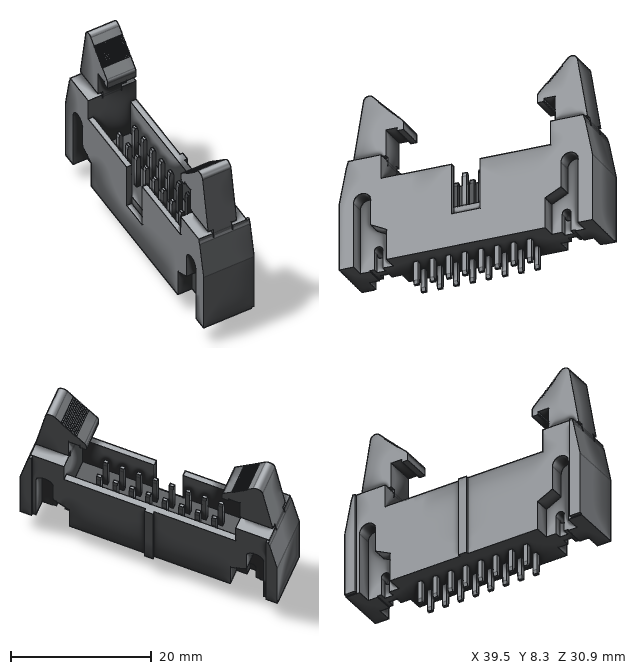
import cadquery as cq

length = 39.52
half_length = length / 2
depth = 7.85
half_depth = depth / 2
wall_top = 13.05
tower_top = 16.75
tower_inner = 13.2
overlap = 0.2

taper_start = 10.2
bevel_start = (18.6, 15.9)
bevel_end_z = 16.35

foot_inner = 15.95
foot_drop = 0.2

front_wall = 0.83
rear_wall = 0.95
cavity_floor = 6.6

slot_width = 4.43
slot_bottom = 5.18
key_width = 1.35

flange_inner = 18.02
flange_top = 16.65
rear_projection = 0.45

recess_outer = 17.5
recess_inner = 14.85
recess_radius = (recess_outer - recess_inner) / 2
recess_arch_z = 9.88
recess_foot_inner = 12.35
recess_ramp_top = 6.0
recess_ramp_bottom = 4.75
web_thickness = 3.15

pivot_x = 14.65
pivot_z = 2.85
pivot_diameter = 1.35
groove_depth = 1.03

latch_bottom = 17.35
latch_width = 4.65
neck_width = 3.0
neck_gap = 0.1
neck_gap_bottom = 16.1
latch_outer_x = 18.25
latch_lean = 0.169
tip_radius = 0.85
nose_x = 10.45
nose_top = 22.3
nose_bottom = 20.95
nose_radius = 0.8
lip_inner = 11.45
lip_chamfer = 0.1
hook_underside = 21.42
tooth_count = 12
tooth_size = 0.2
tooth_start_x = 11.95

pin_columns = 8
pin_rows = 2
pin_pitch = 2.53
pin_size = 0.67
pin_bottom = -3.55
pin_top = 12.6
pin_tip_length = 0.6
pin_tip_depth = 0.4


def box(x_range, y_range, z_range):
    """Axis-aligned box between the given pairs of coordinates."""
    size = [high - low for low, high in (x_range, y_range, z_range)]
    corner = (x_range[0], y_range[0], z_range[0])
    return cq.Workplane("XY").box(*size, centered=False).translate(corner)


def slab(outline, y_low, y_high):
    """Closed XZ outline extruded from y_low to y_high."""
    return outline.close().extrude(y_low - y_high).translate((0, y_low, 0))


def both_ends(body):
    """The body together with its mirror image at the other end."""
    return body.union(body.mirror("YZ"))


def latch_outer(z):
    """X of the leaning outer side of the latch at height z."""
    return latch_outer_x - latch_lean * (z - latch_bottom)


def end_outline():
    """Outline of one half of the housing, up to the tower top."""
    return cq.Workplane("XZ").polyline([
        (0, 0),
        (foot_inner, 0),
        (foot_inner, -foot_drop),
        (half_length, -foot_drop),
        (half_length, taper_start),
        bevel_start,
        (latch_outer(bevel_end_z), bevel_end_z),
        (latch_outer(tower_top), tower_top),
        (tower_inner, tower_top),
        (tower_inner, wall_top),
        (0, wall_top),
    ])


def housing():
    body = both_ends(slab(end_outline(), -half_depth, half_depth))
    flange_y = (half_depth - overlap, half_depth + rear_projection)
    flange = slab(end_outline(), *flange_y).intersect(
        box((flange_inner, half_length), flange_y, (0, flange_top))
    )
    key = box((-key_width / 2, key_width / 2), flange_y, (0, wall_top))
    cavity = box(
        (-tower_inner, tower_inner),
        (front_wall - half_depth, half_depth - rear_wall),
        (cavity_floor, tower_top + overlap),
    )
    polarising_slot = box(
        (-slot_width / 2, slot_width / 2),
        (-half_depth - overlap, front_wall - half_depth),
        (slot_bottom, wall_top + overlap),
    )
    return body.union(both_ends(flange)).union(key).cut(cavity).cut(polarising_slot)


def side_recess():
    """Recess in the front face, with the pivot groove in its floor."""
    floor_y = -web_thickness / 2
    below = -foot_drop - overlap
    outline = (
        cq.Workplane("XZ")
        .moveTo(recess_outer, below)
        .lineTo(recess_outer, recess_arch_z)
        .threePointArc(
            (recess_outer - recess_radius, recess_arch_z + recess_radius),
            (recess_inner, recess_arch_z),
        )
        .lineTo(recess_inner, recess_ramp_top)
        .lineTo(recess_foot_inner, recess_ramp_bottom)
        .lineTo(recess_foot_inner, below)
    )
    recess = slab(outline, -half_depth - overlap, floor_y)
    groove = box(
        (pivot_x - pivot_diameter / 2, pivot_x + pivot_diameter / 2),
        (floor_y - overlap, floor_y + groove_depth),
        (below, pivot_z),
    )
    return recess.union(groove)


def pivot_hole():
    hole = cq.Workplane("XZ").center(pivot_x, pivot_z).circle(pivot_diameter / 2)
    return hole.extrude(web_thickness / 2 + overlap, both=True)


def neck_gaps():
    """Clearance in the tower top on both sides of the latch neck."""
    front_gap = box(
        (tower_inner - overlap, half_length),
        (-neck_width / 2 - neck_gap, -neck_width / 2),
        (neck_gap_bottom, tower_top + overlap),
    )
    return front_gap.union(front_gap.mirror("XZ"))


def latch():
    ramp_offset = nose_top - nose_x
    apex_z = (latch_outer(0) + ramp_offset) / (1 + latch_lean)
    apex_x = apex_z - ramp_offset
    head_outline = cq.Workplane("XZ").polyline([
        (tower_inner, latch_bottom),
        (latch_outer_x, latch_bottom),
        (apex_x, apex_z),
        (nose_x, nose_top),
        (nose_x, nose_bottom),
        (lip_inner - lip_chamfer, nose_bottom),
        (lip_inner, nose_bottom + lip_chamfer),
        (lip_inner, hook_underside),
        (tower_inner, hook_underside),
    ])
    head = slab(head_outline, -latch_width / 2, latch_width / 2)
    tip_edge = cq.selectors.NearestToPointSelector((apex_x, 0, apex_z))
    head = head.edges(tip_edge).fillet(tip_radius)
    nose_edge = cq.selectors.NearestToPointSelector((nose_x, 0, nose_top))
    head = head.edges(nose_edge).fillet(nose_radius)

    for tooth in range(tooth_count):
        x = tooth_start_x + tooth * tooth_size
        z = x + ramp_offset
        notch = cq.Workplane("XZ").polyline([
            (x, z),
            (x + tooth_size, z),
            (x + tooth_size, z + tooth_size),
        ])
        head = head.cut(slab(notch, -half_depth, half_depth))

    neck_outline = cq.Workplane("XZ").polyline([
        (tower_inner, bevel_end_z),
        (latch_outer(bevel_end_z), bevel_end_z),
        (latch_outer_x, latch_bottom),
        (tower_inner, latch_bottom),
    ])
    return head.union(slab(neck_outline, -neck_width / 2, neck_width / 2))


def pin():
    """Contact pin with both ends tapered across its depth."""
    half, half_tip = pin_size / 2, pin_tip_depth / 2
    shoulder_low = pin_bottom + pin_tip_length
    shoulder_high = pin_top - pin_tip_length
    outline = [
        (-half_tip, pin_bottom),
        (half_tip, pin_bottom),
        (half, shoulder_low),
        (half, shoulder_high),
        (half_tip, pin_top),
        (-half_tip, pin_top),
        (-half, shoulder_high),
        (-half, shoulder_low),
    ]
    return cq.Workplane("YZ").polyline(outline).close().extrude(half, both=True)


result = housing()

front_recess = side_recess()
result = result.cut(both_ends(front_recess))
result = result.cut(both_ends(front_recess.mirror("XZ")))
result = result.cut(both_ends(pivot_hole()))
result = result.cut(both_ends(neck_gaps()))
result = result.union(both_ends(latch()))

for column in range(pin_columns):
    for row in range(pin_rows):
        x = (column - (pin_columns - 1) / 2) * pin_pitch
        y = (row - (pin_rows - 1) / 2) * pin_pitch
        result = result.union(pin().translate((x, y, 0)))